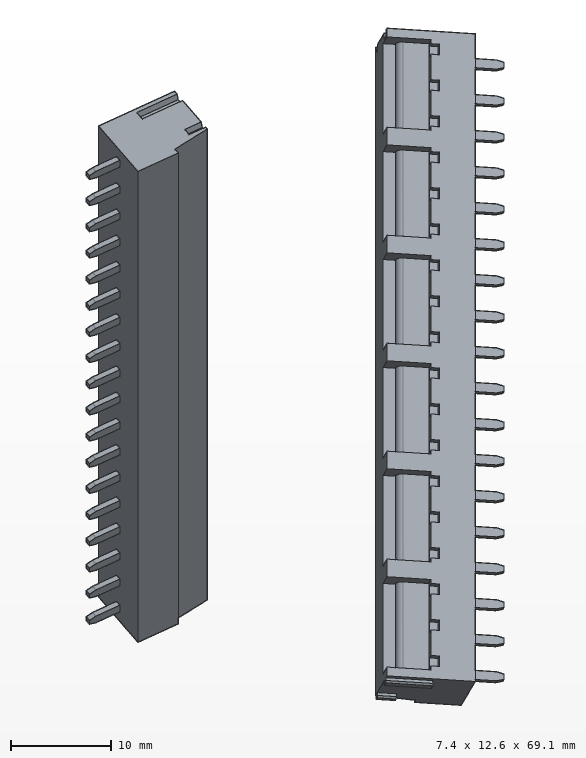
import cadquery as cq
import math


TOTAL_HEIGHT = 69.1
BODY_WIDTH = 7.4
TOTAL_LENGTH = 12.6
PIN_LENGTH = 3.6
TONGUE_DEPTH = 0.55
PIN_COUNT = 18
PINS_PER_POCKET = 3

BODY_LENGTH = TOTAL_LENGTH - PIN_LENGTH
BODY_HEIGHT = TOTAL_HEIGHT - TONGUE_DEPTH
PITCH = BODY_HEIGHT / PIN_COUNT
LEFT = -BODY_WIDTH / 2
RIGHT = BODY_WIDTH / 2

SLOPE_LENGTH = 4.2
SLOPE_INSET_BOTTOM = 0.6
SLOPE_INSET_TOP = 1.25

PIN_HEIGHT = 1.0
PIN_THICKNESS = 0.6
PIN_TIP_HEIGHT = 0.55
PIN_TIP_LENGTH = 0.75

DIVIDER_HEIGHT = 1.9
POCKET_LENGTH = 4.5
POCKET_DEPTH = 1.25
MOUTH_DEPTH = 2.1
MOUTH_LENGTH = 1.25
MOUTH_ROUND_RADIUS = 0.6
POCKET_PITCH = PINS_PER_POCKET * PITCH
POCKET_HEIGHT = POCKET_PITCH - DIVIDER_HEIGHT
POCKET_COUNT = PIN_COUNT // PINS_PER_POCKET

NOTCH_LENGTH = 0.8
NOTCH_HEIGHT = 1.1
NOTCH_DEPTH = 0.75

WIDE_LENGTH = 4.8
WIDE_TONGUE_CENTER = LEFT + 1.0
WIDE_TONGUE_ROOT = 0.8
NARROW_LENGTH = 1.95
NARROW_CENTER = 1.7
NARROW_TONGUE_ROOT = 0.5
TONGUE_FLARE = 0.15
TONGUE_FLARE_DEPTH = 0.35
GROOVE_DEPTH = 0.6
WIDE_GROOVE_LEFT = LEFT + 0.5
WIDE_GROOVE_RIGHT = LEFT + 1.5
NARROW_GROOVE_WIDTH = 0.8
GROOVE_TAPER = 0.2


def block(x_min, x_max, y_min, y_max, z_min, z_max):
    """Axis-aligned box between two corners."""
    size = (x_max - x_min, y_max - y_min, z_max - z_min)
    return cq.Workplane("XY").box(*size, centered=False).translate((x_min, y_min, z_min))


def body():
    outline = [
        (LEFT, 0),
        (RIGHT, 0),
        (RIGHT, BODY_LENGTH - SLOPE_LENGTH),
        (RIGHT - SLOPE_INSET_BOTTOM, BODY_LENGTH - SLOPE_LENGTH),
        (RIGHT - SLOPE_INSET_TOP, BODY_LENGTH),
        (LEFT, BODY_LENGTH),
    ]
    return cq.Workplane("XY").polyline(outline).close().extrude(BODY_HEIGHT)


def pin(z_center):
    """Flat pin pointing to -Y, narrowing in height at its tip."""
    half = PIN_HEIGHT / 2
    half_tip = PIN_TIP_HEIGHT / 2
    shoulder = PIN_TIP_LENGTH - PIN_LENGTH
    outline = [
        (0, -half),
        (shoulder, -half),
        (-PIN_LENGTH, -half_tip),
        (-PIN_LENGTH, half_tip),
        (shoulder, half),
        (0, half),
    ]
    flat = cq.Workplane("YZ").polyline(outline).close().extrude(PIN_THICKNESS / 2, both=True)
    return flat.translate((0, 0, z_center))


def pocket(z_center):
    """Recess open to -X and +Y, stepping over a rounded edge down to its deeper mouth."""
    end = BODY_LENGTH - POCKET_LENGTH
    step = BODY_LENGTH - MOUTH_LENGTH
    floor = LEFT + POCKET_DEPTH
    mouth_floor = LEFT + MOUTH_DEPTH
    round_offset = MOUTH_ROUND_RADIUS * (1 - math.sqrt(0.5))
    recess = (
        cq.Workplane("XY")
        .moveTo(LEFT, end)
        .lineTo(floor, end)
        .lineTo(floor, step - MOUTH_ROUND_RADIUS)
        .threePointArc(
            (floor + round_offset, step - round_offset),
            (floor + MOUTH_ROUND_RADIUS, step),
        )
        .lineTo(mouth_floor, step)
        .lineTo(mouth_floor, BODY_LENGTH)
        .lineTo(LEFT, BODY_LENGTH)
        .close()
        .extrude(POCKET_HEIGHT)
    )
    return recess.translate((0, 0, z_center - POCKET_HEIGHT / 2))


def notch(z_center):
    end = BODY_LENGTH - POCKET_LENGTH
    half = NOTCH_HEIGHT / 2
    return block(LEFT, LEFT + NOTCH_DEPTH, end - NOTCH_LENGTH, end, z_center - half, z_center + half)


def rail(profile, length):
    """Bar along Y with an XZ profile, flush with the +Y face of the body."""
    bar = cq.Workplane("XZ").polyline(profile).close().extrude(length)
    return bar.translate((0, BODY_LENGTH, 0))


def tongue(center, root, length):
    """Tongue below the body that flares out and then narrows to its bottom."""
    half = root / 2
    flared = half + TONGUE_FLARE
    profile = [
        (center - half, 0),
        (center - flared, -TONGUE_FLARE_DEPTH),
        (center - half, -TONGUE_DEPTH),
        (center + half, -TONGUE_DEPTH),
        (center + flared, -TONGUE_FLARE_DEPTH),
        (center + half, 0),
    ]
    return rail(profile, length)


def wide_groove():
    """Groove in the top with a sloping wall on its -X side."""
    floor = BODY_HEIGHT - GROOVE_DEPTH
    profile = [
        (WIDE_GROOVE_LEFT, BODY_HEIGHT),
        (WIDE_GROOVE_LEFT + GROOVE_TAPER, floor),
        (WIDE_GROOVE_RIGHT, floor),
        (WIDE_GROOVE_RIGHT, BODY_HEIGHT),
    ]
    return rail(profile, WIDE_LENGTH)


def narrow_groove():
    """Groove in the top with both side walls sloping inward."""
    floor = BODY_HEIGHT - GROOVE_DEPTH
    half = NARROW_GROOVE_WIDTH / 2
    profile = [
        (NARROW_CENTER - half, BODY_HEIGHT),
        (NARROW_CENTER - half + GROOVE_TAPER, floor),
        (NARROW_CENTER + half - GROOVE_TAPER, floor),
        (NARROW_CENTER + half, BODY_HEIGHT),
    ]
    return rail(profile, NARROW_LENGTH)


result = body().cut(wide_groove()).cut(narrow_groove())

for pocket_index in range(POCKET_COUNT):
    result = result.cut(pocket((pocket_index + 0.5) * POCKET_PITCH))

for pin_index in range(PIN_COUNT):
    pin_z = (pin_index + 0.5) * PITCH
    result = result.cut(notch(pin_z)).union(pin(pin_z))

result = result.union(tongue(WIDE_TONGUE_CENTER, WIDE_TONGUE_ROOT, WIDE_LENGTH))
result = result.union(tongue(NARROW_CENTER, NARROW_TONGUE_ROOT, NARROW_LENGTH))